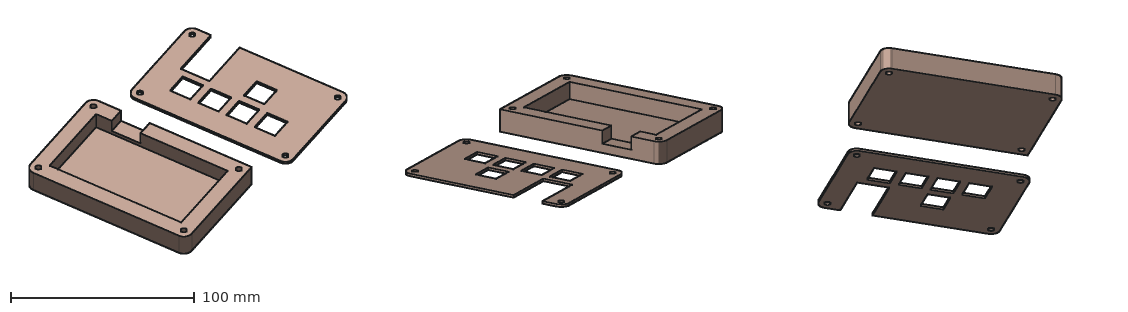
import cadquery as cq

BODY_WIDTH = 103.5
CORNER_RADIUS = 5.0
HOLE_DIAMETER = 3.4
HOLE_INSET = CORNER_RADIUS
NOTCH_WIDTH = 18.4

TRAY_DEPTH = 66.8
TRAY_HEIGHT = 13.0
WALL = 9.5
POCKET_WIDTH = BODY_WIDTH - 2 * WALL
POCKET_DEPTH = TRAY_DEPTH - 2 * WALL
FLOOR_THICKNESS = 3.0
TRAY_NOTCH_X = 19.6
TRAY_NOTCH_FLOOR = 5.4

TOTAL_WIDTH = 113.0
TOTAL_DEPTH = 153.3
PLATE_DEPTH = 64.0
PLATE_THICKNESS = 1.5
PLATE_X = TOTAL_WIDTH - BODY_WIDTH
PLATE_Y = TOTAL_DEPTH - PLATE_DEPTH
PLATE_NOTCH_X = 14.0
PLATE_NOTCH_DEPTH = 31.1

KEY_SIZE = 13.0
KEY_PITCH = 18.1
KEY_COUNT = 4
FIRST_KEY_X = (BODY_WIDTH - (KEY_COUNT - 1) * KEY_PITCH - KEY_SIZE) / 2
KEY_ROW_Y = 15.2
UPPER_KEY_COLUMN = 2


def box_at(x, y, z, width, depth, height):
    """Block with its lowest corner at (x, y, z)."""
    return cq.Workplane("XY").box(width, depth, height, centered=False).translate((x, y, z))


def screw_holes(depth, height):
    """Cutters for one screw hole near each corner of a body with the given depth."""
    xs = (HOLE_INSET, BODY_WIDTH - HOLE_INSET)
    ys = (HOLE_INSET, depth - HOLE_INSET)
    centers = [(x, y) for x in xs for y in ys]
    return cq.Workplane("XY").pushPoints(centers).circle(HOLE_DIAMETER / 2).extrude(height)


def make_tray():
    """Open tray with a wire notch in the back wall and one square back corner."""
    tray = box_at(0, 0, 0, BODY_WIDTH, TRAY_DEPTH, TRAY_HEIGHT)
    tray = tray.edges("|Z and (<X or <Y)").fillet(CORNER_RADIUS)
    pocket = box_at(WALL, WALL, FLOOR_THICKNESS, POCKET_WIDTH, POCKET_DEPTH, TRAY_HEIGHT - FLOOR_THICKNESS)
    notch = box_at(
        TRAY_NOTCH_X, TRAY_DEPTH - WALL, TRAY_NOTCH_FLOOR, NOTCH_WIDTH, WALL, TRAY_HEIGHT - TRAY_NOTCH_FLOOR
    )
    tray = tray.cut(pocket).cut(notch)
    return tray.cut(screw_holes(TRAY_DEPTH, TRAY_HEIGHT))


def key_openings():
    """Cutters for a row of keys and a single key one pitch above it."""
    cells = [(column, 0) for column in range(KEY_COUNT)] + [(UPPER_KEY_COLUMN, 1)]
    cutters = []
    for column, row in cells:
        x = FIRST_KEY_X + column * KEY_PITCH
        y = KEY_ROW_Y + row * KEY_PITCH
        cutters.append(box_at(x, y, 0, KEY_SIZE, KEY_SIZE, PLATE_THICKNESS))
    return cutters


def make_plate():
    """Rounded cover plate with key openings and a notch in its back edge."""
    plate = box_at(0, 0, 0, BODY_WIDTH, PLATE_DEPTH, PLATE_THICKNESS)
    plate = plate.edges("|Z").fillet(CORNER_RADIUS)
    notch_y = PLATE_DEPTH - PLATE_NOTCH_DEPTH
    plate = plate.cut(box_at(PLATE_NOTCH_X, notch_y, 0, NOTCH_WIDTH, PLATE_NOTCH_DEPTH, PLATE_THICKNESS))
    for opening in key_openings():
        plate = plate.cut(opening)
    plate = plate.cut(screw_holes(PLATE_DEPTH, PLATE_THICKNESS))
    return plate.translate((PLATE_X, PLATE_Y, 0))


tray = make_tray()
plate = make_plate()
result = cq.Compound.makeCompound([tray.val(), plate.val()])